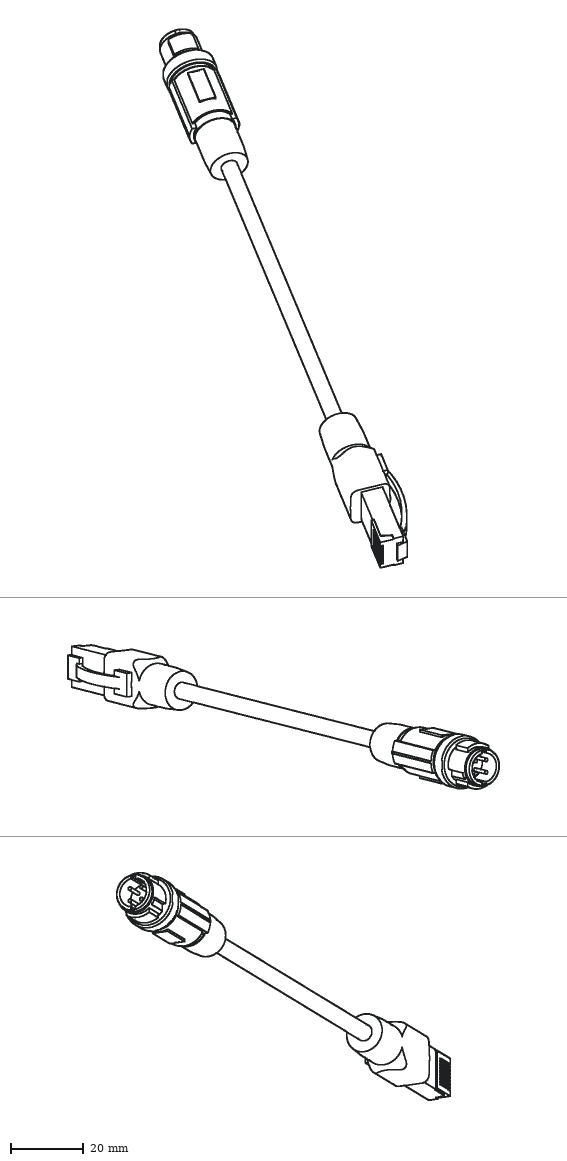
import cadquery as cq

LENGTH = 195.8

NOSE_END = 1.5
COLLAR_START = 9.5
COLLAR_END = 14.3
BODY_START = 15.5
BODY_END = 32.3
RAIL_END = 34.0
NECK_END = 34.9
NUT_START = 43.0
NUT_LENGTH = 4.5
NUT_END = NUT_START + NUT_LENGTH

NOSE_R = 5.0
PLUG_R = 5.5
COLLAR_R = 7.5
GROOVE_R = 6.5
BODY_R = 6.7
NECK_R = 6.0
SLEEVE_R = 5.9
NUT_SMALL_R = 5.5
CABLE_R = 2.3
COLLAR_CHAMFER = 0.5
COLLAR_FLAT_Y = 7.2

BORE_R = 4.1
BORE_DEPTH = 6.9
PIN_R = 0.49
PIN_TIP_X = 1.5
PIN_OFFSET = 1.8
KEYWAY_WIDTH = 1.4
KEYWAY_Z = 4.7

LAND_START = 3.0
LAND_END = 8.6
LAND_WIDTH = 7.0
LAND_R = 6.5
RECESS_TOP_Z = -1.4
RECESS_BOTTOM_Z = -3.3
RECESS_FLOOR_Y = 4.3

RAIL_R = 7.2
RAIL_WIDTH = 6.5
RIDGE_Y = 7.5
RIDGE_WIDTH = 0.5
LABEL_START = 17.2
LABEL_END = 28.0
LABEL_WIDTH = 4.7
LABEL_Z = 6.9

NUT2_START = 146.8
NUT2_LENGTH = 5.3
HOUSING_START = 159.2
HOUSING_END = 176.2
HOUSING_WIDTH_Y = 11.4
HOUSING_HEIGHT_Z = 13.9
HOUSING_FILLET = 2.2
HOUSING_TAPER_SLOPE = 0.65

INSERT_END = 195.0
INSERT_TOP_Y = 3.5
INSERT_BOTTOM_Y = -2.7
INSERT_HEIGHT_Z = 11.5
TIP_START = 186.5
TIP_BOTTOM_Y = -3.1
LEDGE_DEPTH = 0.3
LEDGE_LOW_Y = -2.3
LEDGE_HIGH_Y = 0.8
LEDGE_LOW_X = 192.9
LEDGE_HIGH_X = 193.6
CONTACT_COUNT = 8
CONTACT_PITCH = 1.02
CONTACT_SLOT_WIDTH = 0.5
CONTACT_START = 188.8
CONTACT_DEPTH = 0.8

LATCH_BASE_START = 162.7
LATCH_BASE_END = 168.8
LATCH_BASE_Y = 7.5
LATCH_PLATE_WIDTH = 6.7
LATCH_ARM_WIDTH = 3.3
LATCH_ARM_THICKNESS = 1.2
LATCH_PEAK_X = 176.2
LATCH_PEAK_Y = 9.2
LATCH_KNEE_X = 188.5
LATCH_KNEE_Y = 6.5
LATCH_PLATE_START = 189.7
LATCH_PLATE_Y = 4.7
LATCH_PLATE_END = 195.2
LATCH_LIP_START = 194.6
LATCH_LIP_Y = 1.66


def box(x_range, y_range, z_range):
    """Box given by its limits along each axis."""
    size = [high - low for low, high in (x_range, y_range, z_range)]
    corner = (x_range[0], y_range[0], z_range[0])
    return cq.Workplane("XY").box(*size, centered=False).translate(corner)


def rod(x_start, x_end, radius, y=0, z=0):
    """Round bar along X."""
    return cq.Workplane("YZ", origin=(x_start, y, z)).circle(radius).extrude(x_end - x_start)


def turned_core():
    """All the coaxial round sections, from the open nose to the end of the housing."""
    profile = [
        (0, 0),
        (0, NOSE_R),
        (NOSE_END, NOSE_R),
        (NOSE_END, PLUG_R),
        (COLLAR_START, PLUG_R),
        (COLLAR_START, COLLAR_R - COLLAR_CHAMFER),
        (COLLAR_START + COLLAR_CHAMFER, COLLAR_R),
        (COLLAR_END - COLLAR_CHAMFER, COLLAR_R),
        (COLLAR_END, COLLAR_R - COLLAR_CHAMFER),
        (COLLAR_END, GROOVE_R),
        (BODY_START, GROOVE_R),
        (BODY_START, BODY_R),
        (BODY_END, BODY_R),
        (BODY_END, NECK_R),
        (NECK_END, NECK_R),
        (NECK_END, SLEEVE_R),
        (NUT_START, SLEEVE_R),
        (NUT_END, NUT_SMALL_R),
        (NUT_END, CABLE_R),
        (NUT2_START, CABLE_R),
        (NUT2_START, NUT_SMALL_R),
        (NUT2_START + NUT2_LENGTH, SLEEVE_R),
        (HOUSING_END, SLEEVE_R),
        (HOUSING_END, 0),
    ]
    return cq.Workplane("XY").polyline(profile).close().revolve(360, (0, 0, 0), (1, 0, 0))


def collar_flat_cuts():
    """Two small flats, on the -Y and +Y sides of the collar."""
    x_range = (COLLAR_START, COLLAR_END)
    z_range = (-COLLAR_R, COLLAR_R)
    flat = box(x_range, (COLLAR_FLAT_Y, COLLAR_R), z_range)
    return flat.union(flat.mirror("XZ"))


def locking_lands():
    """Raised curved lands above and below the plug barrel."""
    band = rod(LAND_START, LAND_END, LAND_R)
    half = LAND_WIDTH / 2
    return band.intersect(box((LAND_START, LAND_END), (-half, half), (-LAND_R, LAND_R)))


def side_recesses():
    """Flat-floored recess low on each side of the plug barrel."""
    x_range = (LAND_START, COLLAR_START)
    recess = box(x_range, (RECESS_FLOOR_Y, PLUG_R), (RECESS_BOTTOM_Z, RECESS_TOP_Z))
    return recess.union(recess.mirror("XZ"))


def contact_cavity():
    """Bore with a keyway above and below, leaving four contact pins standing."""
    half = KEYWAY_WIDTH / 2
    cavity = rod(0, BORE_DEPTH, BORE_R)
    cavity = cavity.union(box((0, BORE_DEPTH), (-half, half), (-KEYWAY_Z, KEYWAY_Z)))
    for y in (-PIN_OFFSET, PIN_OFFSET):
        for z in (-PIN_OFFSET, PIN_OFFSET):
            cavity = cavity.cut(rod(PIN_TIP_X, BORE_DEPTH, PIN_R, y, z))
    return cavity


def grip_rails():
    """Raised curved rail on each side, with a thin ridge along its middle."""
    x_range = (BODY_START, RAIL_END)
    half_rail = RAIL_WIDTH / 2
    half_ridge = RIDGE_WIDTH / 2
    band = rod(BODY_START, RAIL_END, RAIL_R)
    rails = band.intersect(box(x_range, (-RAIL_R, RAIL_R), (-half_rail, half_rail)))
    ridges = box(x_range, (-RIDGE_Y, RIDGE_Y), (-half_ridge, half_ridge))
    return rails.union(ridges)


def label_pads():
    """Flat pad on the top and bottom of the body."""
    half = LABEL_WIDTH / 2
    return box((LABEL_START, LABEL_END), (-half, half), (-LABEL_Z, LABEL_Z))


def housing():
    """Rounded block whose front corners are turned down to a cone."""
    length = HOUSING_END - HOUSING_START
    block = (
        cq.Workplane("YZ", origin=(HOUSING_START, 0, 0))
        .rect(HOUSING_WIDTH_Y, HOUSING_HEIGHT_Z)
        .extrude(length)
        .edges("|X")
        .fillet(HOUSING_FILLET)
    )
    cone_profile = [
        (HOUSING_START, 0),
        (HOUSING_START, SLEEVE_R),
        (HOUSING_END, SLEEVE_R + HOUSING_TAPER_SLOPE * length),
        (HOUSING_END, 0),
    ]
    cone = cq.Workplane("XY").polyline(cone_profile).close().revolve(360, (0, 0, 0), (1, 0, 0))
    return block.intersect(cone)


def tip_ledge():
    """Shallow L-shaped step on the +Z side of the tip, along its lower edge and its end."""
    outline = [
        (TIP_START, TIP_BOTTOM_Y),
        (INSERT_END, TIP_BOTTOM_Y),
        (INSERT_END, LEDGE_HIGH_Y),
        (LEDGE_HIGH_X, LEDGE_HIGH_Y),
        (LEDGE_LOW_X, LEDGE_LOW_Y),
        (TIP_START, LEDGE_LOW_Y),
    ]
    floor_z = INSERT_HEIGHT_Z / 2 - LEDGE_DEPTH
    plane = cq.Workplane("XY", origin=(0, 0, floor_z))
    return plane.polyline(outline).close().extrude(LEDGE_DEPTH)


def modular_insert():
    """Flat plug with a thicker tip and a row of contact slots on its -Y side."""
    z_range = (-INSERT_HEIGHT_Z / 2, INSERT_HEIGHT_Z / 2)
    insert = box((HOUSING_END, INSERT_END), (INSERT_BOTTOM_Y, INSERT_TOP_Y), z_range)
    insert = insert.union(box((TIP_START, INSERT_END), (TIP_BOTTOM_Y, INSERT_TOP_Y), z_range))
    for index in range(CONTACT_COUNT):
        z = (index - (CONTACT_COUNT - 1) / 2) * CONTACT_PITCH
        slot_z = (z - CONTACT_SLOT_WIDTH / 2, z + CONTACT_SLOT_WIDTH / 2)
        slot_y = (TIP_BOTTOM_Y, TIP_BOTTOM_Y + CONTACT_DEPTH)
        insert = insert.cut(box((CONTACT_START, INSERT_END), slot_y, slot_z))
    ledge = tip_ledge()
    return insert.cut(ledge).cut(ledge.mirror("XY"))


def latch():
    """Bowed latch arm from the housing to a hooked plate at the plug tip."""
    half_plate = LATCH_PLATE_WIDTH / 2
    plate_z = (-half_plate, half_plate)
    base = box((LATCH_BASE_START, LATCH_BASE_END), (0, LATCH_BASE_Y), plate_z)
    plate = box((LATCH_PLATE_START, LATCH_PLATE_END), (INSERT_TOP_Y, LATCH_PLATE_Y), plate_z)
    lip_profile = [
        (LATCH_LIP_START, LATCH_PLATE_Y),
        (LATCH_PLATE_END, LATCH_PLATE_Y),
        (LENGTH, LATCH_LIP_Y),
        (LATCH_LIP_START, LATCH_LIP_Y),
    ]
    lip = cq.Workplane("XY").polyline(lip_profile).close().extrude(half_plate, both=True)

    arm_start = LATCH_BASE_END - 2 * LATCH_ARM_THICKNESS
    arm = (
        cq.Workplane("XY")
        .moveTo(arm_start, LATCH_BASE_Y)
        .spline(
            [(LATCH_PEAK_X, LATCH_PEAK_Y), (LATCH_KNEE_X, LATCH_KNEE_Y)],
            includeCurrent=True,
        )
        .lineTo(LATCH_PLATE_START + LATCH_ARM_THICKNESS, LATCH_PLATE_Y)
        .lineTo(LATCH_PLATE_START, INSERT_TOP_Y)
        .lineTo(LATCH_KNEE_X - LATCH_ARM_THICKNESS, LATCH_KNEE_Y - LATCH_ARM_THICKNESS)
        .spline(
            [
                (LATCH_PEAK_X, LATCH_PEAK_Y - LATCH_ARM_THICKNESS),
                (arm_start, LATCH_BASE_Y - LATCH_ARM_THICKNESS),
            ],
            includeCurrent=True,
        )
        .close()
        .extrude(LATCH_ARM_WIDTH / 2, both=True)
    )
    return base.union(arm).union(plate).union(lip)


result = (
    turned_core()
    .cut(collar_flat_cuts())
    .union(locking_lands())
    .cut(side_recesses())
    .cut(contact_cavity())
    .union(grip_rails())
    .union(label_pads())
    .union(housing())
    .union(modular_insert())
    .union(latch())
)